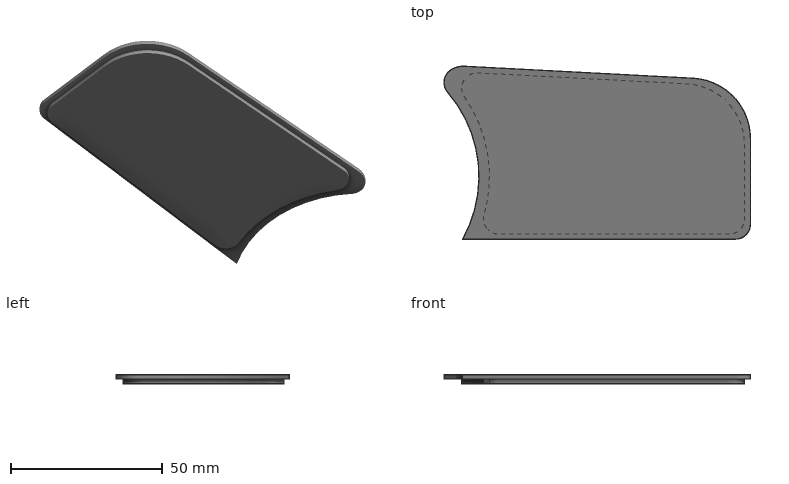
import cadquery as cq
import math

plate_length = 101.03
plate_width = 57.06
total_thickness = 3.0
cover_thickness = 1.5
lip_thickness = total_thickness - cover_thickness

concave_radius = 42.4
concave_deepest_x = 11.5
concave_centre = (concave_deepest_x - concave_radius, 20.7)

lower_corner_radius = 5.0
upper_corner_radius = 20.0
slope_angle = 3.0

nose_radius = 5.0
nose_end_angle = 123.5
shoulder_end_angle = 90.0 - slope_angle

straight_inset = 2.0
bottom_inset = 1.7
concave_inset = 3.5

lip_corner_radius = 5.0


def on_circle(centre, radius, angle):
    """Point on a circle at an angle in degrees."""
    turn = math.radians(angle)
    return (centre[0] + radius * math.cos(turn), centre[1] + radius * math.sin(turn))


centre_distance = concave_radius + nose_radius
nose_bearing = math.degrees(math.acos((nose_radius - concave_centre[0]) / centre_distance))
nose_centre = on_circle(concave_centre, centre_distance, nose_bearing)
nose_start = on_circle(concave_centre, concave_radius, nose_bearing)
nose_tip = (0.0, nose_centre[1])
nose_end = on_circle(nose_centre, nose_radius, nose_end_angle)

shoulder_radius = (plate_width - nose_end[1]) / (1.0 - math.sin(math.radians(nose_end_angle)))
shoulder_centre = on_circle(nose_end, -shoulder_radius, nose_end_angle)
shoulder_middle = on_circle(shoulder_centre, shoulder_radius, (nose_end_angle + shoulder_end_angle) / 2.0)
shoulder_end = on_circle(shoulder_centre, shoulder_radius, shoulder_end_angle)


def slope_y(x, inset=0.0):
    """Y of the sloping upper side at x, moved inward square to the slope."""
    angle = math.radians(slope_angle)
    return shoulder_end[1] - (x - shoulder_end[0]) * math.tan(angle) - inset / math.cos(angle)


def round_right_corners(body):
    """Round the two vertical edges at the right-hand end."""
    body = body.edges("|Z").edges(">X").edges("<Y").fillet(lower_corner_radius)
    return body.edges("|Z").edges(">(1, 1, 0)").fillet(upper_corner_radius)


def make_cover():
    """Visible top plate with the concave left side and the horn."""
    bottom_left_x = concave_centre[0] + math.sqrt(concave_radius**2 - concave_centre[1] ** 2)
    cover = (
        cq.Workplane("XY", origin=(0, 0, lip_thickness))
        .moveTo(bottom_left_x, 0.0)
        .lineTo(plate_length, 0.0)
        .lineTo(plate_length, slope_y(plate_length))
        .lineTo(*shoulder_end)
        .threePointArc(shoulder_middle, nose_end)
        .threePointArc(nose_tip, nose_start)
        .threePointArc((concave_deepest_x, concave_centre[1]), (bottom_left_x, 0.0))
        .close()
        .extrude(cover_thickness)
    )
    return round_right_corners(cover)


def make_lip():
    """Locating lip under the cover, set back on every side."""
    left_x = concave_centre[0]
    right_x = plate_length - straight_inset
    blank = (
        cq.Workplane("XY")
        .moveTo(left_x, bottom_inset)
        .lineTo(right_x, bottom_inset)
        .lineTo(right_x, slope_y(right_x, straight_inset))
        .lineTo(left_x, slope_y(left_x, straight_inset))
        .close()
        .extrude(lip_thickness)
    )
    scoop = (
        cq.Workplane("XY")
        .center(*concave_centre)
        .circle(concave_radius + concave_inset)
        .extrude(lip_thickness)
    )
    lip = blank.cut(scoop)
    left_half = cq.selectors.BoxSelector(
        (left_x, 0.0, 0.0),
        (plate_length / 2.0, plate_width, lip_thickness),
    )
    lip = lip.edges("|Z").edges(left_half).fillet(lip_corner_radius)
    return round_right_corners(lip)


result = make_cover().union(make_lip())